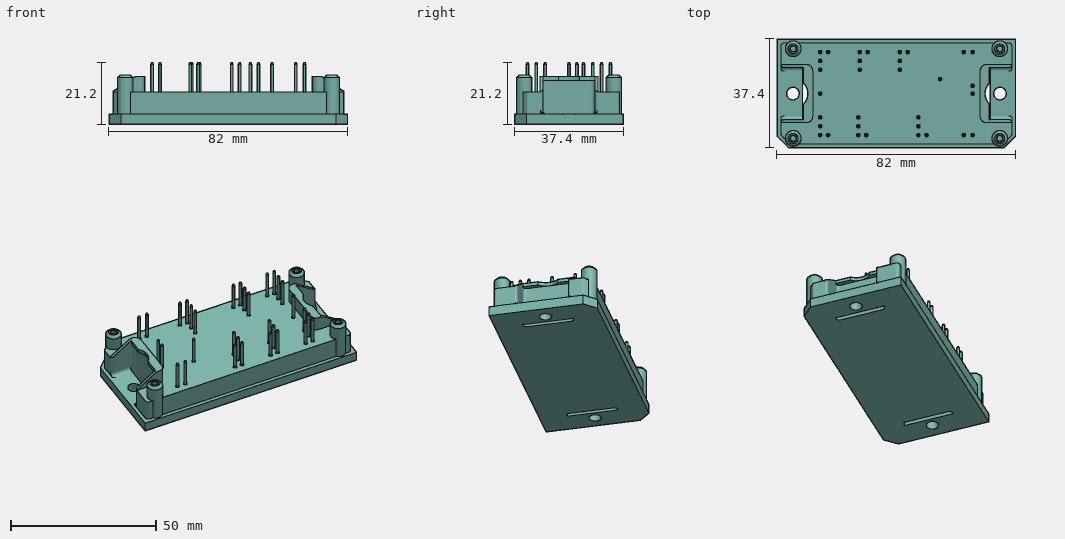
import cadquery as cq
import math

plate_length = 82.0
plate_width = 37.4
plate_thickness = 3.5
plate_corner_cut = 4.0

body_length = 79.4
body_width = 34.8
body_top = 11.2
body_back_radius = 1.1
body_front_cut = 3.1
body_front_radius = 0.7

mount_x = 35.6
mount_hole_diameter = 4.3
post_x = 35.5
post_y = 15.4
post_diameter = 5.4
post_shoulder = 16.1
post_top = 17.05
post_top_diameter = 3.45
post_bore_diameter = 2.4
post_bore_depth = 4.9
post_ledge_depth = 0.25
post_core_diameter = 2.0

wall_top = 16.6
wall_back_x = 28.8
wall_half_width = 10.0
wall_back_radius = 2.2
cheek_outer_height = 11.4
cheek_slope_end_x = 32.0
cheek_top_radius = 1.5

pocket_half_width = 8.9
pocket_mouth_radius = 1.0
pocket_floor_radius = 1.2
lip_front_x = 32.0
lip_bottom = 15.2
screw_clearance_radius = 5.1
slot_front_x = 32.2
slot_back_x = mount_x - screw_clearance_radius
slot_corner_radius = 1.2

pin_diameter = 1.0
pin_top = 21.2
pin_tip_height = 0.6
pin_tip_inset = 0.25
pin_seat_diameter = 1.2
pin_seat_depth = 0.4
pin_rows = {
    14.3: (-26.2, -23.5, -12.6, -9.9, 1.15, 3.85, 23.1, 26.15),
    11.2: (-26.2, -12.6, 1.15),
    8.2: (-26.2, -12.6, 1.15),
    5.0: (15.0,),
    2.7: (26.15,),
    0.0: (-26.2, 26.15),
    -8.2: (-26.2, -13.1, 7.55),
    -11.2: (-26.2, -13.1, 7.55),
    -14.3: (-26.2, -23.5, -13.1, -10.4, 7.55, 10.3, 23.1, 26.15),
}
pin_points = [(x, y) for y, row in pin_rows.items() for x in row]

body_end_x = body_length / 2
mouth_start_x = body_end_x - pocket_mouth_radius
mouth_half_width = pocket_half_width + pocket_mouth_radius
mount_points = [(-mount_x, 0), (mount_x, 0)]
post_points = [(sx * post_x, sy * post_y) for sx in (-1, 1) for sy in (-1, 1)]


def box(x_min, x_max, half_width, z_min, z_max):
    """Block centred on Y = 0."""
    length = x_max - x_min
    block = cq.Workplane("XY").box(length, 2 * half_width, z_max - z_min, centered=(False, True, False))
    return block.translate((x_min, 0, z_min))


def cylinders(points, diameter, z_min, z_max):
    """Equal upright cylinders at the given points."""
    return (
        cq.Workplane("XY").workplane(offset=z_min).pushPoints(points)
        .circle(diameter / 2).extrude(z_max - z_min)
    )


def both_ends(shape):
    """A +X end feature together with its mirror image at the -X end."""
    return shape.union(shape.mirror("YZ"))


def base_plate():
    plate = box(-plate_length / 2, plate_length / 2, plate_width / 2, 0, plate_thickness)
    return plate.edges("|Z and <Y").chamfer(plate_corner_cut)


def housing():
    body = box(-body_end_x, body_end_x, body_width / 2, plate_thickness, body_top)
    body = body.edges("|Z and >Y").fillet(body_back_radius)
    body = body.edges("|Z and <Y").chamfer(body_front_cut)
    body = body.faces("<X").edges("|Z and <Y").fillet(body_front_radius)
    return body.faces(">X").edges("|Z and <Y").fillet(body_front_radius)


def end_wall():
    """Raised wall whose top slopes down to the end of the housing."""
    wall = (
        cq.Workplane("XZ")
        .moveTo(wall_back_x, plate_thickness)
        .lineTo(wall_back_x, wall_top)
        .lineTo(cheek_slope_end_x, wall_top)
        .lineTo(body_end_x, cheek_outer_height)
        .lineTo(body_end_x, plate_thickness)
        .close()
        .extrude(wall_half_width, both=True)
    )
    slope_start = cq.selectors.NearestToPointSelector((cheek_slope_end_x, 0, wall_top))
    wall = wall.edges("|Y").edges(slope_start).fillet(cheek_top_radius)
    return wall.edges("|Z and <X").fillet(wall_back_radius)


def pocket():
    """Room for the screw head: flared open mouth, undercut slot and round clearance in the lip."""
    beyond = plate_length / 2
    open_part = box(lip_front_x, beyond, pocket_half_width, plate_thickness, wall_top)
    slot = box(slot_back_x, slot_front_x, pocket_half_width, 0, lip_bottom)
    slot = slot.edges("|Z and <X").fillet(slot_corner_radius)
    clearance = cylinders([(mount_x, 0)], 2 * screw_clearance_radius, plate_thickness, wall_top)
    shape = open_part.union(slot).union(clearance)
    mouth = box(mouth_start_x, beyond, mouth_half_width, plate_thickness, wall_top)
    rounds = cylinders(
        [(mouth_start_x, -mouth_half_width), (mouth_start_x, mouth_half_width)],
        2 * pocket_mouth_radius, plate_thickness, wall_top,
    )
    return shape.union(mouth.cut(rounds))


def fillet_profile(foot):
    """Concave fillet section: local x runs into the pocket, local y runs up from the floor."""
    radius = pocket_floor_radius
    middle = radius * (1 - math.sqrt(0.5))
    return cq.Workplane(foot).lineTo(radius, 0).threePointArc((middle, middle), (0, radius)).close()


def floor_fillets():
    """Fillets along the foot of both cheeks, curling around the pocket mouth to a rounded end."""
    foot = cq.Plane(
        origin=(mouth_start_x, pocket_half_width, plate_thickness), xDir=(0, -1, 0), normal=(-1, 0, 0)
    )
    straight = fillet_profile(foot).extrude(mouth_start_x - slot_front_x)
    curl = fillet_profile(foot).revolve(360, (-pocket_mouth_radius, 0), (-pocket_mouth_radius, 1))
    curl = curl.intersect(box(mouth_start_x, body_end_x, mouth_half_width, plate_thickness, wall_top))
    rounded_end = cylinders(
        [(mouth_start_x, pocket_half_width)], 2 * pocket_floor_radius, plate_thickness, wall_top
    )
    fillet = straight.union(curl.intersect(rounded_end))
    return fillet.union(fillet.mirror("XZ"))


def posts():
    """Screw posts with a coned top."""
    cone_height = post_top - post_shoulder
    cone_inset = (post_diameter - post_top_diameter) / 2
    return (
        cylinders(post_points, post_diameter, plate_thickness, post_top)
        .faces(">Z").edges().chamfer(cone_height, cone_inset)
    )


def post_bores():
    """Blind bores that step down to a smaller diameter just below the mouth."""
    mouth = cylinders(post_points, post_bore_diameter, post_top - post_ledge_depth, post_top)
    return mouth.union(cylinders(post_points, post_core_diameter, post_top - post_bore_depth, post_top))


def pins():
    shafts = cylinders(pin_points, pin_diameter, body_top - pin_seat_depth, pin_top)
    return shafts.faces(">Z").edges().chamfer(pin_tip_height, pin_tip_inset)


result = base_plate().union(housing()).union(both_ends(end_wall()))
result = result.cut(both_ends(pocket())).union(both_ends(floor_fillets()))
result = result.cut(cylinders(mount_points, mount_hole_diameter, 0, plate_thickness))
result = result.union(posts())
result = result.cut(post_bores())
result = result.cut(cylinders(pin_points, pin_seat_diameter, body_top - pin_seat_depth, body_top))
result = result.union(pins())